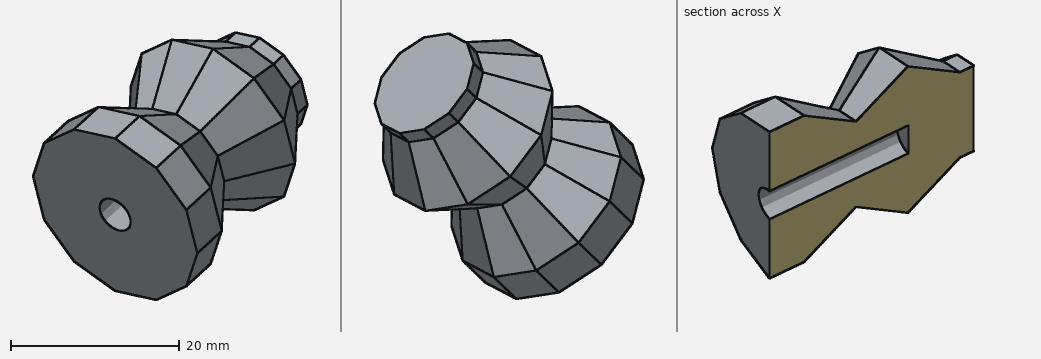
import cadquery as cq
import math

SIDES = 12
WIDE_DIAMETER = 24.0
NARROW_DIAMETER = 14.0
TOTAL_LENGTH = 29.5
BASE_LENGTH = 5.0
TAPER_LENGTH = 7.5
HOLE_DIAMETER = 4.5
HOLE_DEPTH = 20.0

flat_inset = (WIDE_DIAMETER - NARROW_DIAMETER) / 2 * math.cos(math.pi / SIDES)
taper_angle = math.degrees(math.atan(flat_inset / TAPER_LENGTH))

base_end = BASE_LENGTH
waist = base_end + TAPER_LENGTH
belly = waist + TAPER_LENGTH
collar_start = belly + TAPER_LENGTH


def prism(y_start, y_end, diameter, taper=0):
    """Twelve-sided solid from y_start to y_end, with corners on the X and Z axes."""
    direction = 1 if y_end > y_start else -1
    plane = cq.Plane(origin=(0, y_start, 0), xDir=(1, 0, 0), normal=(0, direction, 0))
    outline = cq.Workplane(plane).polygon(SIDES, diameter)
    return outline.extrude(abs(y_end - y_start), taper=taper)


body = (
    prism(0, base_end, WIDE_DIAMETER)
    .union(prism(base_end, waist, WIDE_DIAMETER, taper_angle))
    .union(prism(belly, waist, WIDE_DIAMETER, taper_angle))
    .union(prism(belly, collar_start, WIDE_DIAMETER, taper_angle))
    .union(prism(collar_start, TOTAL_LENGTH, NARROW_DIAMETER))
)

hole = cq.Workplane("XZ").circle(HOLE_DIAMETER / 2).extrude(-HOLE_DEPTH)

result = body.cut(hole)